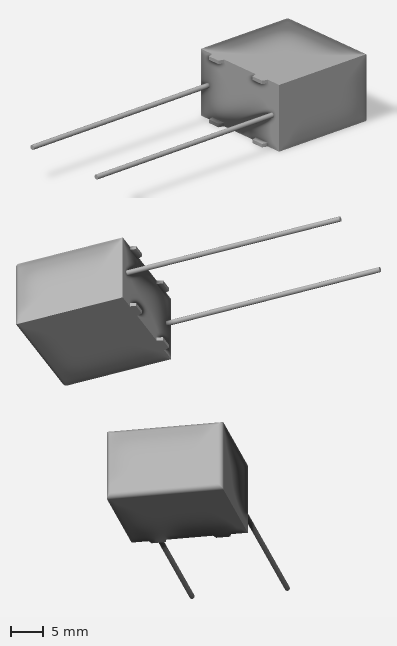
import cadquery as cq

overall_length = 54.1
case_width = 18.3
case_height = 11.2

case_length = 18.25
rear_fillet = 0.7

foot_length = 0.9
foot_base_width = 2.8
foot_tip_width = 2.2
foot_height = 0.6
foot_pitch = 10.15

lead_diameter = 0.8
lead_pitch = 15.0

lead_length = overall_length - case_length


def make_foot(x, top_z):
    """Tapered foot that points to -Y, with its upper face at top_z."""
    return (
        cq.Workplane("XY", origin=(x, 0, top_z))
        .moveTo(-foot_base_width / 2, 0)
        .lineTo(-foot_tip_width / 2, -foot_length)
        .lineTo(foot_tip_width / 2, -foot_length)
        .lineTo(foot_base_width / 2, 0)
        .close()
        .extrude(-foot_height)
    )


def make_case():
    """Box with a rounded rear rim and four feet flush with its top and bottom."""
    case = (
        cq.Workplane("XY")
        .box(case_width, case_length, case_height, centered=(True, False, True))
        .faces(">Y")
        .edges()
        .fillet(rear_fillet)
    )
    for x in (-foot_pitch / 2, foot_pitch / 2):
        for top_z in (case_height / 2, -case_height / 2 + foot_height):
            case = case.union(make_foot(x, top_z))
    return case


def make_lead(x):
    """Round wire that runs forward from the front face of the case."""
    return cq.Workplane("XZ", origin=(x, 0, 0)).circle(lead_diameter / 2).extrude(lead_length)


case = make_case()
leads = [make_lead(x) for x in (-lead_pitch / 2, lead_pitch / 2)]

result = cq.Compound.makeCompound([case.val(), *[lead.val() for lead in leads]])